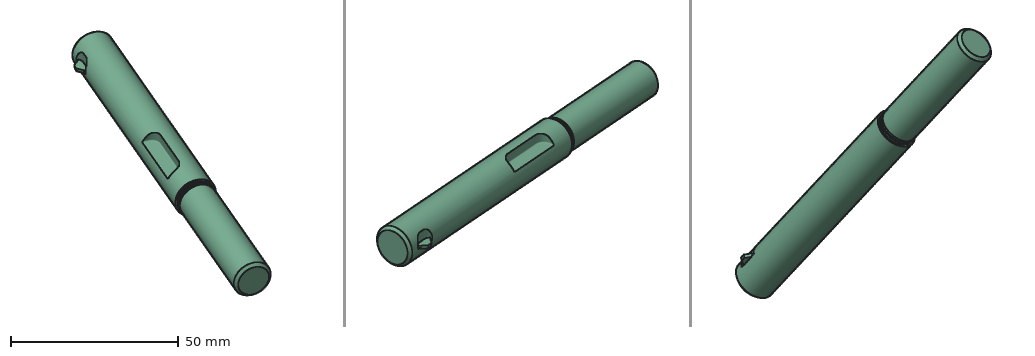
import cadquery as cq

total_length = 125.0
body_diameter = 13.2
shank_diameter = 12.0
neck_diameter = 11.6
body_radius = body_diameter / 2
shank_radius = shank_diameter / 2
neck_radius = neck_diameter / 2

body_length = 80.4
neck_start = 81.1
neck_end = 82.2
end_chamfer = 1.0
neck_bevel = shank_radius - neck_radius

window_corner_radius = 3.0
window_start = 52.9
window_length = 19.8
window_floor = 3.2
window_wall = -1.0
window_floor_fillet = 0.4

blade_center = 7.5
blade_thickness = 1.2
blade_tip = -8.4
blade_tip_width = 1.6
blade_root = -5.0
blade_clearance = 8.0
blade_root_width = blade_tip_width + 2 * (blade_root - blade_tip)
relief_wall = -5.2
relief_corner_radius = 3.1
relief_width = 8.1
relief_floor = -0.1


def make_bar():
    """Turned body, neck and shank, revolved about the X axis."""
    profile = [
        (0, 0),
        (0, body_radius - end_chamfer),
        (end_chamfer, body_radius),
        (body_length, body_radius),
        (body_length, shank_radius),
        (neck_start, shank_radius),
        (neck_start + neck_bevel, neck_radius),
        (neck_end - neck_bevel, neck_radius),
        (neck_end, shank_radius),
        (total_length - end_chamfer, shank_radius),
        (total_length, shank_radius - end_chamfer),
        (total_length, 0),
    ]
    return cq.Workplane("XY").polyline(profile).close().revolve(360, (0, 0, 0), (1, 0, 0))


def make_cutter(center_x, width, wall_y, floor_z, corner_radius):
    """Block open to -Y and +Z whose two inner vertical corners are rounded."""
    depth = wall_y + 2 * body_radius
    return (
        cq.Workplane("XY", origin=(center_x, wall_y - depth / 2, floor_z))
        .rect(width, depth)
        .extrude(2 * body_radius)
        .edges("|Z and >Y")
        .fillet(corner_radius)
    )


def make_window():
    """Window cutter with a small fillet between its floor and walls."""
    center_x = window_start + window_length / 2
    cutter = make_cutter(center_x, window_length, window_wall, window_floor, window_corner_radius)
    return cutter.faces("<Z").edges("not <Y").fillet(window_floor_fillet)


def make_blade():
    """Flat blade with a blunt tip on the -Y side; its root is buried behind the relief wall."""
    outline = [
        (-blade_root_width / 2, blade_root),
        (-blade_tip_width / 2, blade_tip),
        (blade_tip_width / 2, blade_tip),
        (blade_root_width / 2, blade_root),
    ]
    top_face = cq.Workplane("XY", origin=(blade_center, 0, blade_thickness / 2))
    return top_face.polyline(outline).close().extrude(-blade_thickness, taper=blade_clearance)


relief = make_cutter(blade_center, relief_width, relief_wall, relief_floor, relief_corner_radius)

result = make_bar().cut(make_window()).cut(relief).union(make_blade())